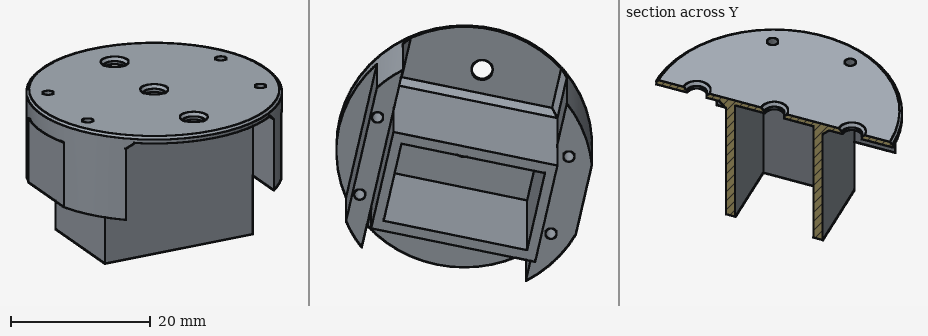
import cadquery as cq

body_diameter = 36.6
body_radius = body_diameter / 2
body_height = 12.95
rim_chamfer = 0.4

block_width = 15.0
block_length = 24.0
total_height = 21.95
block_wall = 1.5

plate_thickness = 1.0
pocket_chamfer = 1.0

round_band_height = 3.0
front_flat_y = -17.5
back_flat_y = 15.05

screw_hole_diameter = 3.0
countersink_diameter = 4.0
countersink_depth = (countersink_diameter - screw_hole_diameter) / 2
screw_hole_spacing = 12.0

pin_hole_diameter = 1.6
pin_hole_x = 6.0
pin_hole_y = 14.0


def round_body():
    """Disc of the full body height with a chamfered top rim."""
    body = cq.Workplane("XY").circle(body_radius).extrude(-body_height)
    return body.faces(">Z").edges().chamfer(rim_chamfer)


def side_pocket(side):
    """Space beside the block, open outward, with sloped upper edges at the block and end walls."""
    inner_x = block_width / 2
    pocket_reach = body_diameter
    pocket_height = body_height - plate_thickness
    pocket = (
        cq.Workplane("XY")
        .workplane(offset=-body_height)
        .center(side * (inner_x + pocket_reach / 2), 0)
        .rect(pocket_reach, block_length)
        .extrude(pocket_height)
    )
    return pocket.faces(">Z").edges().chamfer(pocket_chamfer)


def end_flat(flat_y):
    """Material outside a flat at flat_y, below the round band."""
    direction = 1 if flat_y > 0 else -1
    cut_depth = body_radius
    return (
        cq.Workplane("XY")
        .workplane(offset=-round_band_height)
        .center(0, flat_y + direction * cut_depth / 2)
        .rect(body_diameter, cut_depth)
        .extrude(round_band_height - body_height)
    )


def central_block():
    """Lower part of the block, below the round body."""
    return (
        cq.Workplane("XY")
        .workplane(offset=-body_height)
        .rect(block_width, block_length)
        .extrude(body_height - total_height)
    )


def block_cavity():
    """Hollow inside the block, from the underside of the top plate to the open bottom."""
    return (
        cq.Workplane("XY")
        .workplane(offset=-total_height)
        .rect(block_width - 2 * block_wall, block_length - 2 * block_wall)
        .extrude(total_height - plate_thickness)
    )


def countersunk_hole(x):
    """Hole through the top plate with a conical mouth at the top face."""
    hole = cq.Workplane("XY").center(x, 0).circle(screw_hole_diameter / 2).extrude(-plate_thickness)
    mouth = (
        cq.Workplane("XY")
        .center(x, 0)
        .circle(countersink_diameter / 2)
        .workplane(offset=-countersink_depth)
        .circle(screw_hole_diameter / 2)
        .loft(ruled=True)
    )
    return hole.union(mouth)


def pin_holes():
    """Four small through holes, two in each end wall."""
    return (
        cq.Workplane("XY")
        .rect(2 * pin_hole_x, 2 * pin_hole_y, forConstruction=True)
        .vertices()
        .circle(pin_hole_diameter / 2)
        .extrude(-body_height)
    )


result = round_body()

for side in (-1, 1):
    result = result.cut(side_pocket(side))

for flat_y in (front_flat_y, back_flat_y):
    result = result.cut(end_flat(flat_y))

result = result.union(central_block())
result = result.cut(block_cavity())

for x in (-screw_hole_spacing, 0, screw_hole_spacing):
    result = result.cut(countersunk_hole(x))

result = result.cut(pin_holes())